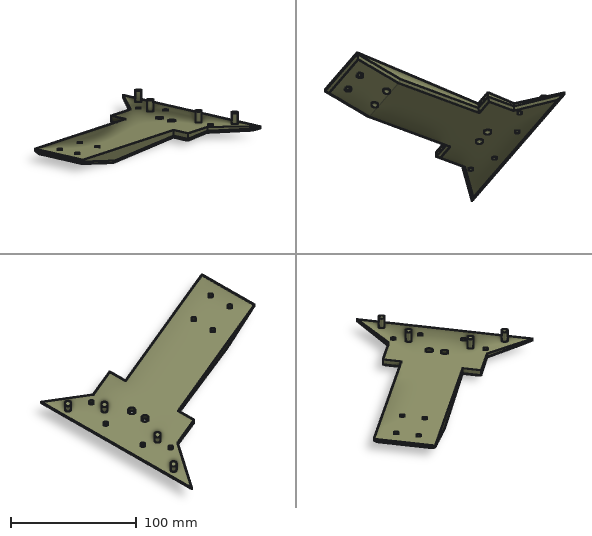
import cadquery as cq

length = 165.0
tail_half_width = 71.5
shoulder_half_width = 40.0
stem_half_width = 24.9
wing_depth = 28.0
shoulder_depth = 52.3

edge_thickness = 4.0
peak_thickness = 11.9
peak_y = 40.0
bottom_chamfer = 2.5

pin_diameter = 5.0
pin_height = 9.0
outer_pin_x = 50.0
inner_pin_x = 25.0
outer_pin_y = length - 6.5
inner_row_y = length - 21.5

small_hole_diameter = 3.6
large_hole_diameter = 5.8
inner_hole_x = 17.5
inner_hole_y = length - 11.5
outer_hole_x = 37.5
large_hole_x = 6.3
large_hole_y = length - 32.3

screw_hole_x = 9.0
screw_hole_rows = (11.9, 37.0)
counterbore_diameter = 5.5
counterbore_floor_z = -6.0


def mirrored(x, y):
    """A point and its mirror image across the centre plane."""
    return [(-x, y), (x, y)]


def make_plate():
    """Plan outline cut to the wedge profile, with its whole lower rim chamfered."""
    right_side = [
        (stem_half_width, 0),
        (stem_half_width, length - shoulder_depth),
        (shoulder_half_width, length - shoulder_depth),
        (shoulder_half_width, length - wing_depth),
        (tail_half_width, length),
    ]
    left_side = [(-x, y) for x, y in reversed(right_side)]
    plan = cq.Workplane("XY").polyline(right_side + left_side).close().extrude(-peak_thickness)

    side_profile = [
        (0, 0),
        (0, -edge_thickness),
        (peak_y, -peak_thickness),
        (length, -edge_thickness),
        (length, 0),
    ]
    wedge = cq.Workplane("YZ").polyline(side_profile).close().extrude(tail_half_width, both=True)

    plate = plan.intersect(wedge)
    bottom_faces = plate.faces("not(|Z or #Z or >Z)")
    ridge = plate.edges("|X").edges("<Z").val()
    rim = bottom_faces.edges().filter(lambda edge: not edge.isSame(ridge))
    return rim.chamfer(bottom_chamfer)


def cylinders(points, diameter, start_z, height):
    """Upright cylinders at the given points; a negative height runs downward."""
    return cq.Workplane("XY", origin=(0, 0, start_z)).pushPoints(points).circle(diameter / 2).extrude(height)


plate = make_plate()

pin_points = mirrored(outer_pin_x, outer_pin_y) + mirrored(inner_pin_x, inner_row_y)
plate = plate.union(cylinders(pin_points, pin_diameter, 0, pin_height))

screw_points = [point for y in screw_hole_rows for point in mirrored(screw_hole_x, y)]
small_points = screw_points + mirrored(inner_hole_x, inner_hole_y) + mirrored(outer_hole_x, inner_row_y)
plate = plate.cut(cylinders(small_points, small_hole_diameter, 0, -peak_thickness))
plate = plate.cut(cylinders(mirrored(large_hole_x, large_hole_y), large_hole_diameter, 0, -peak_thickness))
plate = plate.cut(cylinders(screw_points, counterbore_diameter, counterbore_floor_z, -peak_thickness))

result = plate